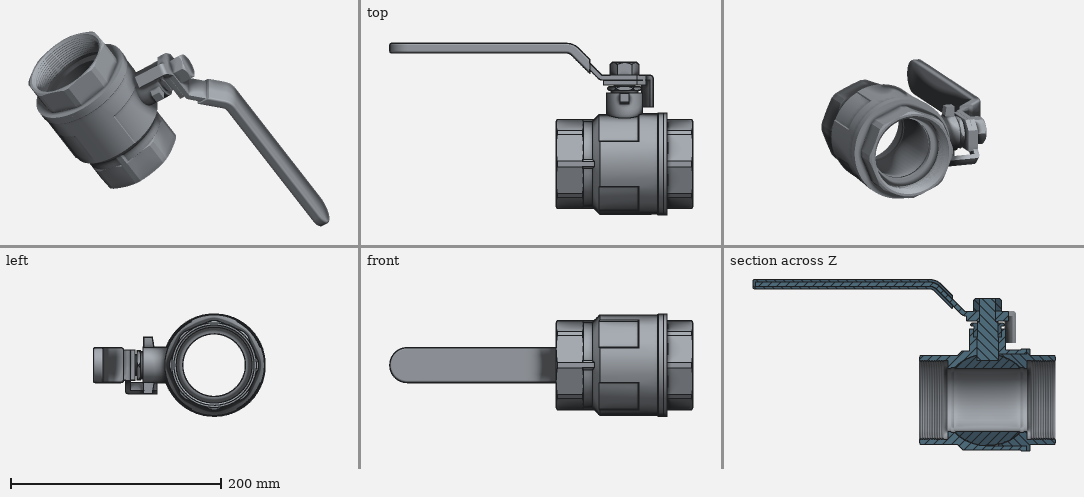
import cadquery as cq
import math


half_length = 65.0
ball_radius = 43.5
port_radius = 29.7
joint_x = 37.2

overlap = 1.0

octagon_apothem = 40.3
octagon_corner_radius = 42.5
corner_chamfer = 1.0
octagon_inner_x = 39.0
collar_radius = 40.7
cap_collar_end_x = 41.4
rib_half_width = 2.4

thread_crest_radius = 36.1
thread_root_radius = 37.6
thread_pitch = 2.309
thread_count = 10
mouth_radius = 38.2
socket_depth = 27.0
port_wall = 3.5
port_groove_radius = 30.7

shell_radius = 47.9
shell_start_x = -23.4
flange_radius = 48.75
flange_start_x = 32.2
flange_end_x = 40.5
panel_depth = 1.0
panel_end_x = 13.7
panel_start_angle = 20.2
panel_end_angle = 63.5
spigot_end_x = 10.0

boss_radius = 17.2
boss_top_y = 67.7
stop_half_width = 4.35
stop_reach = 26.8
stop_top_y = 67.0
stop_tip_bottom_y = 58.8
stop_root_bottom_y = 57.2

stem_radius = 10.0
stem_thread_radius = 8.0
tang_width = 10.0
tang_bottom_y = 38.0
gland_radius = 13.0
gland_bottom_y = 60.0
gland_hex_bottom_y = 70.0
gland_hex_top_y = 73.6
gland_hex_corners = 32.6
gland_hex_chamfer = 1.5
nut_corners = 27.6
nut_top_y = 96.9
nut_chamfer_height = 2.2

lever_thickness = 4.7
lever_half_width = 14.45
lever_bottom_y = 79.8
lever_end_x = 20.4
lever_corner_cut = 8.6
fold_end_x = -20.2
fold_gap = 0.2
fold_gap_end_x = 17.0
bend_angle = 45.0
lower_bend_x = -22.3
lower_bend_radius = 3.75
upper_bend_radius = 12.0
grip_thickness = 9.4
grip_half_width = 16.75
grip_top_y = 115.0
grip_tip_x = -223.5
grip_end_x = -33.0
grip_edge_radius = 2.0
tab_width = 11.0
tab_reach = 33.4
tab_bottom_y = 54.2
tab_bend_radius = 4.0
tab_angle = 45.0

lever_top_y = lever_bottom_y + lever_thickness
fold_bottom_y = lever_bottom_y - lever_thickness
socket_end_x = half_length - socket_depth
panel_radius = shell_radius - panel_depth
collar_end_x = shell_start_x - (shell_radius - collar_radius)


def cylinder_x(radius, start_x, end_x):
    return cq.Workplane("YZ").workplane(offset=start_x).circle(radius).extrude(end_x - start_x)


def at_height(y):
    """Workplane across the stem axis. Its normal is -Y, so a negative extrusion goes up the stem."""
    return cq.Workplane("XZ", origin=(0, y, 0))


def cylinder_y(radius, bottom_y, top_y):
    return at_height(bottom_y).circle(radius).extrude(bottom_y - top_y)


def revolve_about_x(points):
    return cq.Workplane("XY").polyline(points).close().revolve(360, (0, 0, 0), (1, 0, 0))


def ball_sphere():
    """Full sphere of the ball, with its poles on the flow axis."""
    return (
        cq.Workplane("XY").moveTo(-ball_radius, 0)
        .threePointArc((0, ball_radius), (ball_radius, 0))
        .close().revolve(360, (0, 0, 0), (1, 0, 0))
    )


def octagon_prism(inner_x):
    """Octagon with blunted corners, from inner_x out to the valve end on the +X side."""
    length = half_length - inner_x
    half_side_angle = 360 / 8 / 2

    def octagon(apothem):
        corner_diameter = 2 * apothem / math.cos(math.radians(half_side_angle))
        return cq.Workplane("YZ").workplane(offset=inner_x).polygon(8, corner_diameter).extrude(length)

    blunting = octagon(octagon_corner_radius).rotate((0, 0, 0), (1, 0, 0), half_side_angle)
    return octagon(octagon_apothem).intersect(blunting)


def chamfer_envelope(inner_x, inner_chamfer):
    """Round envelope that chamfers the octagon corners at the valve end."""
    clear_radius = octagon_corner_radius + overlap
    slope = (octagon_corner_radius - octagon_apothem) / corner_chamfer
    chamfer_length = (clear_radius - octagon_apothem) / slope
    inner_radius = octagon_apothem if inner_chamfer else clear_radius
    return revolve_about_x([
        (inner_x, 0),
        (inner_x, inner_radius),
        (inner_x + chamfer_length, clear_radius),
        (half_length - chamfer_length, clear_radius),
        (half_length, octagon_apothem),
        (half_length, 0),
    ])


def wrench_end(inner_x, inner_chamfer):
    return octagon_prism(inner_x).intersect(chamfer_envelope(inner_x, inner_chamfer))


def threaded_socket():
    """Void of the threaded socket and port on the +X side, up to the ball."""
    thread_start_x = half_length - (mouth_radius - thread_root_radius)
    points = [
        (0, 0),
        (0, port_groove_radius),
        (socket_end_x - port_wall, port_groove_radius),
        (socket_end_x - port_wall, port_radius),
        (socket_end_x, port_radius),
        (socket_end_x, thread_root_radius),
    ]
    first_root_x = thread_start_x - thread_count * thread_pitch
    points.append((first_root_x, thread_root_radius))
    for ring in range(thread_count):
        root_x = first_root_x + ring * thread_pitch
        points.append((root_x + thread_pitch / 2, thread_crest_radius))
        points.append((root_x + thread_pitch, thread_root_radius))
    points += [(half_length, mouth_radius), (half_length, 0)]
    return revolve_about_x(points)


def to_left_end(shape):
    return shape.mirror("YZ")


def corner_ribs():
    """Four ribs with sloping sides that run from the octagon into the conical shoulder."""
    foot_radius = collar_radius - overlap
    foot_half_width = rib_half_width + octagon_corner_radius - foot_radius
    start_x = -(octagon_inner_x + 2 * corner_chamfer)
    rib = (
        cq.Workplane("YZ").workplane(offset=start_x)
        .polyline([
            (octagon_corner_radius, -rib_half_width),
            (octagon_corner_radius, rib_half_width),
            (foot_radius, foot_half_width),
            (foot_radius, -foot_half_width),
        ])
        .close().extrude(shell_start_x - start_x)
    )
    ribs = rib
    for quarter in range(1, 4):
        ribs = ribs.union(rib.rotate((0, 0, 0), (1, 0, 0), 90 * quarter))
    return ribs


def body_shell():
    flange_step = flange_radius - shell_radius
    return revolve_about_x([
        (-octagon_inner_x - corner_chamfer, 0),
        (-octagon_inner_x - corner_chamfer, collar_radius - corner_chamfer),
        (-octagon_inner_x, collar_radius),
        (collar_end_x, collar_radius),
        (shell_start_x, shell_radius),
        (flange_start_x - flange_step, shell_radius),
        (flange_start_x, flange_radius),
        (joint_x, flange_radius),
        (joint_x, 0),
    ])


def panel_recess(start_angle, end_angle):
    """Shallow sloping-walled recess in the shell, between two angles from +Y towards +Z."""
    outer = flange_radius + overlap
    start_x = shell_start_x - 2 * panel_depth
    ring = cylinder_x(outer, start_x, panel_end_x).cut(cylinder_x(panel_radius, start_x, panel_end_x))
    half_angle = math.radians((end_angle - start_angle) / 2)
    reach = 2 * outer
    side_y = reach * math.cos(half_angle)
    side_z = reach * math.sin(half_angle)
    sector = (
        cq.Workplane("YZ").workplane(offset=start_x)
        .polyline([(0, 0), (side_y, -side_z), (reach, 0), (side_y, side_z)])
        .close().extrude(panel_end_x - start_x)
    )
    recess = ring.intersect(sector)
    side_floor_edges = recess.edges("|X").edges("<Y")
    end_floor_edge = recess.faces(">X").edges("%CIRCLE").edges("<Y")
    recess = side_floor_edges.add(end_floor_edge).chamfer(panel_depth)
    return recess.rotate((0, 0, 0), (1, 0, 0), (start_angle + end_angle) / 2)


def boss_stops():
    """Two tapered stops on the +Z and -Z sides of the boss."""
    stop = (
        cq.Workplane("YZ").workplane(offset=-stop_half_width)
        .polyline([
            (stop_top_y, gland_radius + overlap),
            (stop_top_y, stop_reach),
            (stop_tip_bottom_y, stop_reach),
            (stop_root_bottom_y, boss_radius),
            (stop_root_bottom_y, gland_radius + overlap),
        ])
        .close().extrude(2 * stop_half_width)
    )
    return stop.union(stop.mirror("XY"))


def make_body():
    body = body_shell()
    body = body.cut(panel_recess(-panel_end_angle, panel_end_angle))
    body = body.cut(panel_recess(180 - panel_end_angle, 180 - panel_start_angle))
    body = body.cut(panel_recess(180 + panel_start_angle, 180 + panel_end_angle))
    body = body.union(to_left_end(wrench_end(octagon_inner_x, True)))
    body = body.union(corner_ribs())
    body = body.union(cylinder_y(boss_radius, ball_radius, boss_top_y)).union(boss_stops())
    body = body.cut(to_left_end(threaded_socket()))
    body = body.cut(ball_sphere())
    body = body.cut(cylinder_x(ball_radius, 0, joint_x))
    body = body.cut(cylinder_y(stem_radius, 0, boss_top_y))
    return body.cut(cylinder_y(gland_radius, gland_bottom_y, boss_top_y))


def make_end_cap():
    cap = cylinder_x(ball_radius, spigot_end_x, joint_x)
    cap = cap.union(cylinder_x(flange_radius, joint_x, flange_end_x))
    cap = cap.union(cylinder_x(collar_radius, joint_x, cap_collar_end_x))
    cap = cap.union(wrench_end(joint_x, False))
    cap = cap.cut(threaded_socket())
    return cap.cut(ball_sphere())


def stem_tang():
    slab = cq.Workplane("XY").box(2 * stem_radius, 2 * ball_radius, tang_width)
    return cylinder_y(stem_radius, tang_bottom_y, ball_radius).intersect(slab)


def make_ball():
    ball = ball_sphere()
    ball = ball.cut(cylinder_x(port_radius, -ball_radius, ball_radius))
    return ball.cut(stem_tang())


def make_stem():
    stem = cylinder_y(stem_radius, ball_radius, fold_bottom_y)
    stem = stem.union(cylinder_y(stem_thread_radius, fold_bottom_y, nut_top_y))
    return stem.union(stem_tang())


def hex_prism(across_corners, bottom_y, top_y):
    return at_height(bottom_y).polygon(6, across_corners).extrude(bottom_y - top_y)


def chamfered_disc(diameter, bottom_y, top_y, edges, height):
    """Disc whose chamfered rims trim the corners of a hexagon."""
    disc = cylinder_y(diameter / 2, bottom_y, top_y)
    return disc.faces(edges).edges().chamfer(height)


def make_gland():
    hexagon = hex_prism(gland_hex_corners, gland_hex_bottom_y, gland_hex_top_y)
    trim = chamfered_disc(
        gland_hex_corners, gland_hex_bottom_y, gland_hex_top_y, "<Y or >Y", gland_hex_chamfer
    )
    gland = hexagon.intersect(trim)
    gland = gland.union(cylinder_y(gland_radius, gland_bottom_y, gland_hex_bottom_y))
    return gland.cut(cylinder_y(stem_radius, gland_bottom_y, gland_hex_top_y))


def make_nut():
    nut = hex_prism(nut_corners, lever_top_y, nut_top_y)
    nut = nut.intersect(chamfered_disc(nut_corners, lever_top_y, nut_top_y, ">Y", nut_chamfer_height))
    return nut.cut(cylinder_y(stem_thread_radius, lever_top_y, nut_top_y))


def cranked_strip(thickness, tip_x, half_width):
    """Cranked strip: a high straight run, a slope with two round bends, a low straight run."""
    angle = math.radians(bend_angle)
    low_y = lever_bottom_y + lever_thickness / 2
    high_y = grip_top_y - grip_thickness / 2
    upper_bend_x = lower_bend_x - (high_y - low_y) / math.tan(angle)
    upper_start_x = upper_bend_x - upper_bend_radius * math.tan(angle / 2)
    lower_stop_x = lower_bend_x + lower_bend_radius * math.tan(angle / 2)

    def bend_point(centre, radius, turn):
        return centre[0] + radius * math.sin(turn), centre[1] + radius * math.cos(turn)

    def bend_arc(centre, radius, last_turn):
        return bend_point(centre, radius, angle / 2), bend_point(centre, radius, last_turn)

    upper_centre = (upper_start_x, high_y - upper_bend_radius)
    lower_centre = (lower_stop_x, low_y + lower_bend_radius)
    half = thickness / 2
    upper_outer = upper_bend_radius + half
    upper_inner = upper_bend_radius - half
    lower_inner = half - lower_bend_radius
    lower_outer = -(lower_bend_radius + half)

    outline = (
        cq.Workplane("XY").workplane(offset=-half_width)
        .moveTo(tip_x, high_y + half)
        .lineTo(upper_start_x, high_y + half)
        .threePointArc(*bend_arc(upper_centre, upper_outer, angle))
        .lineTo(*bend_point(lower_centre, lower_inner, angle))
        .threePointArc(*bend_arc(lower_centre, lower_inner, 0))
        .lineTo(lever_end_x, lower_centre[1] + lower_inner)
        .lineTo(lever_end_x, low_y - half)
        .lineTo(lower_stop_x, low_y - half)
        .threePointArc(*bend_arc(lower_centre, lower_outer, angle))
        .lineTo(*bend_point(upper_centre, upper_inner, angle))
        .threePointArc(*bend_arc(upper_centre, upper_inner, 0))
        .lineTo(tip_x, high_y - half)
        .close()
    )
    return outline.extrude(2 * half_width)


def rounded_plan(tip_x, end_x, half_width):
    """Upright block whose plan is a strip with a semicircular tip."""
    return (
        at_height(0)
        .moveTo(end_x, half_width)
        .lineTo(tip_x + half_width, half_width)
        .threePointArc((tip_x, 0), (tip_x + half_width, -half_width))
        .lineTo(end_x, -half_width)
        .close().extrude(-2 * grip_top_y)
    )


def stop_tab():
    """Tongue on the diagonal between +X and -Z, bent down to meet the boss stops."""
    tab = (
        cq.Workplane("XY").workplane(offset=-tab_width / 2)
        .polyline([
            (stem_radius, lever_top_y),
            (tab_reach, lever_top_y),
            (tab_reach, tab_bottom_y),
            (tab_reach - lever_thickness, tab_bottom_y),
            (tab_reach - lever_thickness, lever_bottom_y),
            (stem_radius, lever_bottom_y),
        ])
        .close().extrude(tab_width)
    )
    tab = tab.edges(">X and >Y").fillet(tab_bend_radius)
    return tab.rotate((0, 0, 0), (0, 1, 0), tab_angle)


def lever_corner():
    """Prism that bevels the +Z corner of the lever end, through the fold as well."""
    return (
        at_height(fold_bottom_y)
        .polyline([
            (lever_end_x, lever_half_width),
            (lever_end_x - lever_corner_cut, lever_half_width),
            (lever_end_x, lever_half_width - lever_corner_cut),
        ])
        .close().extrude(fold_bottom_y - lever_top_y)
    )


def make_lever():
    tip_x = grip_tip_x + grip_half_width - lever_half_width
    lever = cranked_strip(lever_thickness, tip_x, lever_half_width)
    lever = lever.intersect(rounded_plan(tip_x, lever_end_x, lever_half_width))
    fold = (
        cq.Workplane("XY").workplane(offset=-lever_half_width)
        .moveTo(fold_end_x, fold_bottom_y)
        .lineTo(lever_end_x, fold_bottom_y)
        .lineTo(lever_end_x, lever_bottom_y)
        .lineTo(fold_gap_end_x, lever_bottom_y)
        .lineTo(fold_gap_end_x, lever_bottom_y - fold_gap)
        .lineTo(fold_end_x, lever_bottom_y - fold_gap)
        .close().extrude(2 * lever_half_width)
    )
    lever = lever.union(fold).cut(lever_corner()).union(stop_tab())
    return lever.cut(cylinder_y(stem_thread_radius, fold_bottom_y, lever_top_y))


def make_grip(lever):
    grip = cranked_strip(grip_thickness, grip_tip_x, grip_half_width)
    grip = grip.intersect(rounded_plan(grip_tip_x, grip_end_x, grip_half_width))
    grip = grip.faces("|Z").edges("not(>X)").fillet(grip_edge_radius)
    return grip.cut(lever)


body = make_body()
end_cap = make_end_cap()
ball = make_ball()
stem = make_stem()
gland = make_gland()
nut = make_nut()
lever = make_lever()
grip = make_grip(lever)

result = cq.Compound.makeCompound([
    body.solids().val(),
    end_cap.solids().val(),
    ball.solids().val(),
    stem.solids().val(),
    gland.solids().val(),
    nut.solids().val(),
    lever.solids().val(),
    grip.solids().val(),
])